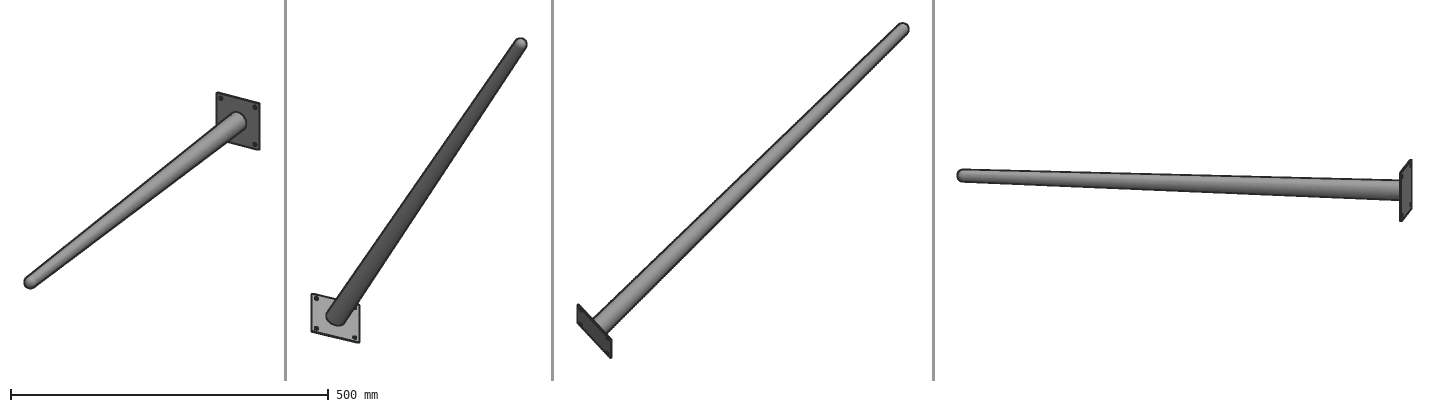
import cadquery as cq
import math

plate_side = 80.0
plate_thickness = 2.0
corner_radius = 3.0
hole_spacing = 64.0
hole_diameter = 6.0

overall_length = 710.0
lean_angle = 5.0
base_radius = 16.0
tip_radius = 10.0
tip_center_y = tip_radius - overall_length
axis_length = (-tip_center_y - plate_thickness) / math.cos(math.radians(lean_angle))


def make_plate():
    """Plate with rounded corners and a fixing hole near each corner."""
    return (
        cq.Workplane("XZ")
        .rect(plate_side, plate_side)
        .extrude(plate_thickness)
        .edges("|Y")
        .fillet(corner_radius)
        .faces("<Y")
        .workplane(origin=(0, 0, 0))
        .rect(hole_spacing, hole_spacing, forConstruction=True)
        .vertices()
        .hole(hole_diameter)
    )


def make_leg():
    """Leaning round leg, trimmed flush with the back of the plate."""
    overrun = base_radius
    taper = (base_radius - tip_radius) / axis_length
    start_radius = base_radius + taper * overrun
    arc_offset = tip_radius * math.sqrt(0.5)
    upright_leg = (
        cq.Workplane("XY")
        .moveTo(0, overrun)
        .lineTo(start_radius, overrun)
        .lineTo(tip_radius, -axis_length)
        .threePointArc((arc_offset, -axis_length - arc_offset), (0, -axis_length - tip_radius))
        .close()
        .revolve(360, (0, 0, 0), (0, 1, 0))
    )
    leaning_leg = upright_leg.rotate((0, 0, 0), (0, 0, 1), lean_angle).translate((0, -plate_thickness, 0))
    waste_size = 4 * base_radius
    waste = cq.Workplane("XY").box(waste_size, waste_size, waste_size).translate((0, waste_size / 2, 0))
    return leaning_leg.cut(waste)


result = make_plate().union(make_leg())